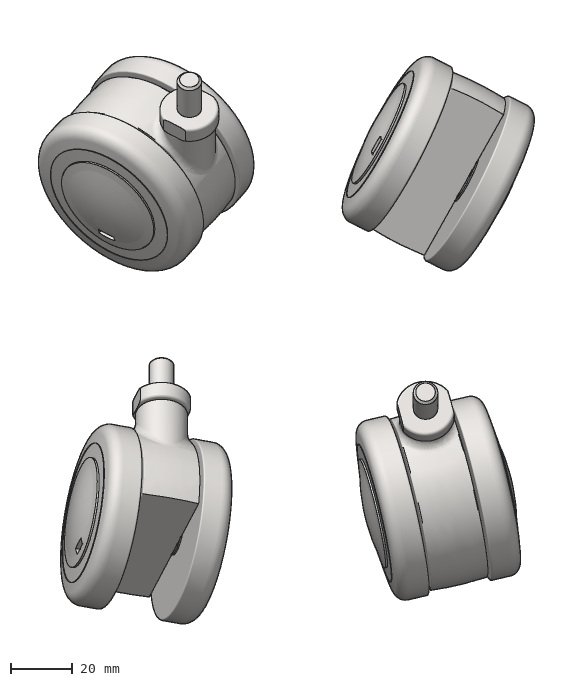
import cadquery as cq
import math


WHEEL_DIAMETER = 60.0
WHEEL_RADIUS = WHEEL_DIAMETER / 2
OVERALL_WIDTH = 48.75
WHEEL_INNER_Y = 10.5
TREAD_OUTER_Y = 17.0
SHOULDER_RADIUS = 4.0
SIDEWALL_TILT = math.radians(9)
INNER_EDGE_FILLET = 0.5
HUB_RADIUS = 23.0
HUB_RECESS = 0.21
HUB_FACE_RISE = 0.29
CAP_RADIUS = 18.15
CAP_RIM_Y = 22.2
DOME_RADIUS = 15.0
DOME_EDGE_Y = 22.6
DOME_APEX_Y = OVERALL_WIDTH / 2

SLOT_WIDTH = 6.0
SLOT_TOP_Z = -12.5
SLOT_DEPTH = 3.0

DRUM_HALF_WIDTH = 9.5
DRUM_MID_RADIUS = 29.0
DRUM_END_RADIUS = 28.6
DRUM_BOTTOM_Z = -8.6
DRUM_EDGE_FILLET = 0.25
BOSS_RADIUS = 8.5
BOSS_SPLIT_Y = (DRUM_HALF_WIDTH + WHEEL_INNER_Y) / 2

OVERALL_HEIGHT = 82.5
STEM_X = 17.0
STEM_DIAMETER = 8.0
STEM_LENGTH = 14
STEM_CHAMFER = 0.8
STEM_TOP_Z = OVERALL_HEIGHT - WHEEL_RADIUS
COLLAR_RADIUS = 9.6
COLLAR_HEIGHT = 6.0
COLLAR_FLATS = 17.1
COLLAR_FILLET = 0.9
COLLAR_TOP_Z = STEM_TOP_Z - STEM_LENGTH
COLLAR_BOTTOM_Z = COLLAR_TOP_Z - COLLAR_HEIGHT

NECK_RADIUS = 8.5
NECK_TOP_FILLET = 0.8
NECK_ROOT_FILLET = 2.9


def dome_sphere_drop(radius):
    """Drop below the apex, at a given radius, of the sphere through the dome apex and edge."""
    sag = DOME_APEX_Y - DOME_EDGE_Y
    sphere_radius = (DOME_RADIUS**2 + sag**2) / (2 * sag)
    return sphere_radius - math.sqrt(sphere_radius**2 - radius**2)


def wheel_profile():
    """Half section of the +Y wheel, with radius along X and the axle along Y."""
    shoulder_center_r = WHEEL_RADIUS - SHOULDER_RADIUS

    def shoulder_point(angle):
        return (
            shoulder_center_r + SHOULDER_RADIUS * math.cos(angle),
            TREAD_OUTER_Y + SHOULDER_RADIUS * math.sin(angle),
        )

    shoulder_sweep = math.pi / 2 - SIDEWALL_TILT
    shoulder_end = shoulder_point(shoulder_sweep)
    sidewall_y = shoulder_end[1] + (shoulder_end[0] - HUB_RADIUS) * math.tan(SIDEWALL_TILT)
    hub_rim_y = sidewall_y - HUB_RECESS
    dome_mid_r = DOME_RADIUS / 2
    return (
        cq.Workplane("XY")
        .moveTo(0, BOSS_SPLIT_Y)
        .lineTo(BOSS_RADIUS, BOSS_SPLIT_Y)
        .lineTo(BOSS_RADIUS, WHEEL_INNER_Y)
        .lineTo(WHEEL_RADIUS - INNER_EDGE_FILLET, WHEEL_INNER_Y)
        .tangentArcPoint((WHEEL_RADIUS, WHEEL_INNER_Y + INNER_EDGE_FILLET), relative=False)
        .lineTo(WHEEL_RADIUS, TREAD_OUTER_Y)
        .threePointArc(shoulder_point(shoulder_sweep / 2), shoulder_end)
        .lineTo(HUB_RADIUS, sidewall_y)
        .lineTo(HUB_RADIUS, hub_rim_y)
        .lineTo(CAP_RADIUS, hub_rim_y + HUB_FACE_RISE)
        .lineTo(CAP_RADIUS, CAP_RIM_Y)
        .lineTo(DOME_RADIUS, DOME_EDGE_Y)
        .threePointArc((dome_mid_r, DOME_APEX_Y - dome_sphere_drop(dome_mid_r)), (0, DOME_APEX_Y))
        .close()
    )


def pry_slot():
    """Cutter for the slot between a chord and the dome edge."""
    slot_floor_y = DOME_EDGE_Y - SLOT_DEPTH
    block = cq.Workplane("XY").box(
        SLOT_WIDTH, DOME_APEX_Y - slot_floor_y, DOME_RADIUS, centered=(True, False, False)
    ).translate((0, slot_floor_y, SLOT_TOP_Z - DOME_RADIUS))
    dome_cylinder = cq.Workplane("XZ").circle(DOME_RADIUS).extrude(-DOME_APEX_Y)
    return block.intersect(dome_cylinder)


def make_wheel(side):
    """One wheel with its cap; side is +1 for the +Y wheel and -1 for the -Y wheel."""
    wheel = wheel_profile().revolve(360, (0, 0, 0), (0, 1, 0)).cut(pry_slot())
    if side < 0:
        wheel = wheel.mirror("XZ")
    return wheel


def crowned_drum(half_width):
    """Drum whose crown follows one arc, so that a wider drum continues the same surface."""
    sag = DRUM_MID_RADIUS - DRUM_END_RADIUS
    crown_radius = (DRUM_HALF_WIDTH**2 + sag**2) / (2 * sag)
    end_radius = DRUM_MID_RADIUS - crown_radius + math.sqrt(crown_radius**2 - half_width**2)
    return (
        cq.Workplane("XY")
        .moveTo(0, -half_width)
        .lineTo(end_radius, -half_width)
        .threePointArc((DRUM_MID_RADIUS, 0), (end_radius, half_width))
        .lineTo(0, half_width)
        .close()
        .revolve(360, (0, 0, 0), (0, 1, 0))
    )


def make_neck():
    """Round post under the collar, reaching down into the drum."""
    return (
        cq.Workplane("XY")
        .center(STEM_X, 0)
        .circle(NECK_RADIUS)
        .extrude(COLLAR_BOTTOM_Z)
        .faces(">Z")
        .edges()
        .fillet(NECK_TOP_FILLET)
    )


def make_housing():
    """Crowned drum, cut flat below the axle, with the neck on top and a boss on each side."""
    body = crowned_drum(2 * DRUM_HALF_WIDTH).union(make_neck())
    root_box = cq.selectors.BoxSelector(
        (STEM_X - 2 * NECK_RADIUS, -2 * NECK_RADIUS, NECK_RADIUS),
        (STEM_X + 2 * NECK_RADIUS, 2 * NECK_RADIUS, DRUM_MID_RADIUS),
    )
    body = body.edges(root_box).edges("not %LINE").fillet(NECK_ROOT_FILLET)

    trim = cq.Workplane("XY").box(
        2 * WHEEL_DIAMETER, 2 * DRUM_HALF_WIDTH, OVERALL_HEIGHT, centered=(True, True, False)
    ).translate((0, 0, DRUM_BOTTOM_Z))
    body = body.intersect(trim)
    body = body.faces("<Y or >Y").edges().fillet(DRUM_EDGE_FILLET)

    bosses = cq.Workplane("XZ").circle(BOSS_RADIUS).extrude(BOSS_SPLIT_Y, both=True)
    return body.union(bosses)


def make_stem():
    """Round stem with its two-flat collar."""
    collar = (
        cq.Workplane("XY", origin=(STEM_X, 0, COLLAR_BOTTOM_Z))
        .circle(COLLAR_RADIUS)
        .extrude(COLLAR_HEIGHT)
        .edges()
        .fillet(COLLAR_FILLET)
    )
    flats = cq.Workplane("XY", origin=(STEM_X, 0, COLLAR_BOTTOM_Z)).box(
        2 * COLLAR_RADIUS, COLLAR_FLATS, COLLAR_HEIGHT, centered=(True, True, False)
    )
    stem = (
        cq.Workplane("XY", origin=(STEM_X, 0, COLLAR_TOP_Z))
        .circle(STEM_DIAMETER / 2)
        .extrude(STEM_LENGTH)
        .faces(">Z")
        .chamfer(STEM_CHAMFER)
    )
    return collar.intersect(flats).union(stem)


housing = make_housing()
stem = make_stem()
wheels = [make_wheel(side) for side in (-1, 1)]

result = cq.Compound.makeCompound([housing.val(), stem.val(), *[wheel.val() for wheel in wheels]])